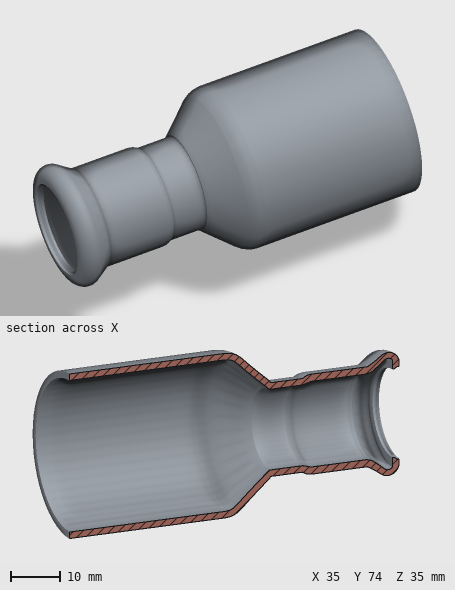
import cadquery as cq
import math

length = 74.0
wall = 1.5

pipe_diameter = 35.0
pipe_radius = pipe_diameter / 2
shoulder_start = 39.0
shoulder_radius = 5.0
cone_angle = math.radians(41.5)

neck_radius = 10.0
neck_end = 29.0
cone_end_radius = 10.3
socket_radius = 10.65
socket_bore_radius = 9.0
step_neck_side = 21.7
step_socket_side = 19.8

bead_radius = 13.1
bead_crest = 2.5
bead_flank_end = 7.1
bead_flank_radius = 12.5
bead_flank_start = 4.2
mouth_face_radius = 10.4
mouth_radius = 9.8
lip_taper_start = 0.6
lip_taper_end = 1.2
lip_end = 1.6

entry_bore_radius = 9.3
entry_bore_end = 6.2
groove_radius = 11.8
groove_flank_radius = 11.4
groove_flank_start = 3.5
groove_crest = (lip_end + groove_flank_start) / 2
entry_taper_end = 7.4


def shoulder_point(angle, radius):
    """Point on a shoulder arc concentric with the outer one: (radius, position)."""
    return (
        pipe_radius - shoulder_radius + radius * math.cos(angle),
        shoulder_start - radius * math.sin(angle),
    )


inner_shoulder_radius = shoulder_radius - wall
neck_bore_radius = neck_radius - wall

inner_cone_start = shoulder_point(cone_angle, inner_shoulder_radius)
inner_cone_end = inner_cone_start[1] - (inner_cone_start[0] - neck_bore_radius) / math.tan(cone_angle)

wall_section = (
    cq.Workplane("XY")
    .moveTo(mouth_face_radius, 0)
    .threePointArc((bead_radius, bead_crest), (bead_flank_radius, bead_flank_start))
    .lineTo(socket_radius, bead_flank_end)
    .lineTo(socket_radius, step_socket_side)
    .tangentArcPoint((neck_radius, step_neck_side), relative=False)
    .lineTo(neck_radius, neck_end)
    .lineTo(cone_end_radius, neck_end)
    .lineTo(*shoulder_point(cone_angle, shoulder_radius))
    .threePointArc(shoulder_point(cone_angle / 2, shoulder_radius), (pipe_radius, shoulder_start))
    .lineTo(pipe_radius, length)
    .lineTo(pipe_radius - wall, length)
    .lineTo(pipe_radius - wall, shoulder_start)
    .threePointArc(shoulder_point(cone_angle / 2, inner_shoulder_radius), inner_cone_start)
    .lineTo(neck_bore_radius, inner_cone_end)
    .lineTo(neck_bore_radius, step_neck_side)
    .lineTo(socket_bore_radius, step_socket_side)
    .lineTo(socket_bore_radius, entry_taper_end)
    .lineTo(entry_bore_radius, entry_bore_end)
    .lineTo(groove_flank_radius, groove_flank_start)
    .threePointArc((groove_radius, groove_crest), (groove_flank_radius, lip_end))
    .lineTo(entry_bore_radius, lip_end)
    .lineTo(entry_bore_radius, lip_taper_end)
    .lineTo(mouth_radius, lip_taper_start)
    .lineTo(mouth_radius, 0)
    .close()
)

result = wall_section.revolve(360, (0, 0, 0), (0, 1, 0))